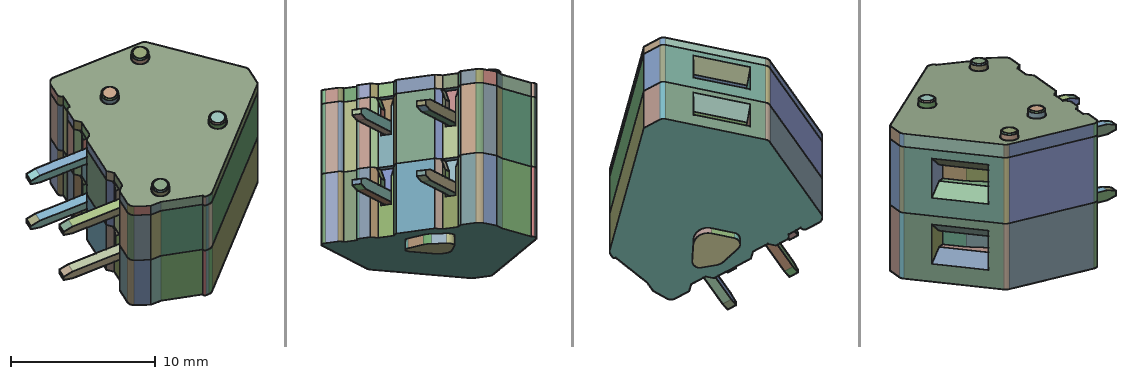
import cadquery as cq
import math

BLOCK_WIDTH = 14.1
BLOCK_DEPTH = 12.8
MODULE_HEIGHT = 5.0
MODULE_COUNT = 2
PLATE_THICKNESS = 0.99
STACK_HEIGHT = MODULE_COUNT * MODULE_HEIGHT

CORNER_RADIUS = 0.5
ENTRY_FACE_START = 7.48
RIDGE_END_X = 6.82
LIP_FLOOR_Y = 4.95
LIP_INNER_X = 13.93
LIP_RADIUS = 0.15
SIDE_X = 13.12
SIDE_TOP_Y = 2.12
SIDE_BOTTOM_Y = 1.33
FRONT_END_X = 12.48

KEY_GROOVE_LEFT = 1.78
KEY_GROOVE_RIGHT = 2.8
KEY_GROOVE_DEPTH = 0.3
PIN_PITCH = 5.0
FIRST_PIN_X = 4.99
PIN_XS = [FIRST_PIN_X, FIRST_PIN_X + PIN_PITCH]
PIN_GROOVE_FLOOR = 1.2
PIN_GROOVE_DEPTH = 0.4

PIN_WIDTH = 0.7
PIN_HEIGHT = 0.77
PIN_CENTER_Z = 2.85
PIN_REACH = 4.0
PIN_TIP_LENGTH = 0.7
PIN_TIP_HEIGHT = 0.37
SLOT_WIDTH = 0.8
SLOT_MOUTH_WIDTH = 1.38
SLOT_FLOOR_Z = 2.28
SLOT_FUNNEL_Z = 4.23
SLOT_DEPTH = 0.62

ENTRY_CENTER_Z = 2.85
ENTRY_HEIGHT = 2.99
ENTRY_THROAT_HEIGHT = 1.23
ENTRY_LOW_Y = 8.38
ENTRY_HIGH_Y = 11.24
ENTRY_FUNNEL_DEPTH = 0.97
ENTRY_FLOOR_DEPTH = 1.46
ENTRY_FLOOR_END_Y = 8.75
ENTRY_DEEPEST = 1.8
ENTRY_DRAFT = 15

FOOT_HEIGHT = 0.7
FOOT_CIRCLES = [(6.25, 2.0, 0.5), (7.76, 2.8, 1.0), (8.92, 2.02, 0.5), (7.76, 2.12, 1.0)]

STUD_CENTERS = [(1.1, 6.6), (3.3, 3.15), (8.58, 8.8), (12.1, 2.6)]
STUD_PROTRUSION = 0.49
STUD_RADIUS = 0.6
STUD_CHAMFER = 0.1
HOLE_CHAMFER = 0.05
COUNTERSINK_ANGLE = 90

MERGE_DISTANCE = 0.0002


def rounded_outline(corners):
    """Closed outline through corners (x, y, radius); a radius of 0 leaves the corner sharp."""
    points = [cq.Vector(x, y, 0) for x, y, _ in corners]
    stations = []
    for i, (_, _, radius) in enumerate(corners):
        here = points[i]
        if radius == 0:
            stations.append((here, None, here))
            continue
        back = (points[i - 1] - here).normalized()
        ahead = (points[(i + 1) % len(points)] - here).normalized()
        half_angle = back.getAngle(ahead) / 2
        tangent = radius / math.tan(half_angle)
        crown = radius / math.sin(half_angle) - radius
        middle = here + (back + ahead).normalized() * crown
        stations.append((here + back * tangent, middle, here + ahead * tangent))

    outline = cq.Workplane("XY").moveTo(*stations[0][2].toTuple()[:2])
    last = stations[0][2]
    for start, middle, end in stations[1:] + stations[:1]:
        if (start - last).Length > MERGE_DISTANCE:
            outline = outline.lineTo(start.x, start.y)
        last = end
        if middle is not None:
            outline = outline.threePointArc((middle.x, middle.y), (end.x, end.y))
    return outline.close()


def block_outline():
    """Plan shape shared by the modules and the end plate, clockwise from the front left corner."""
    corners = [
        (0, 0, CORNER_RADIUS),
        (0, ENTRY_FACE_START, CORNER_RADIUS),
        (BLOCK_DEPTH - ENTRY_FACE_START, BLOCK_DEPTH, CORNER_RADIUS),
        (RIDGE_END_X, BLOCK_DEPTH, 0),
        (BLOCK_WIDTH, BLOCK_DEPTH - (BLOCK_WIDTH - RIDGE_END_X), CORNER_RADIUS),
        (BLOCK_WIDTH, LIP_FLOOR_Y, LIP_RADIUS),
        (LIP_INNER_X, LIP_FLOOR_Y, 0),
        (SIDE_X, SIDE_TOP_Y, 0),
        (SIDE_X, SIDE_BOTTOM_Y, 0),
        (FRONT_END_X, 0, CORNER_RADIUS),
    ]
    for x in reversed(PIN_XS):
        floor_half = PIN_GROOVE_FLOOR / 2
        mouth_half = floor_half + PIN_GROOVE_DEPTH
        corners += [
            (x + mouth_half, 0, 0),
            (x + floor_half, PIN_GROOVE_DEPTH, 0),
            (x - floor_half, PIN_GROOVE_DEPTH, 0),
            (x - mouth_half, 0, 0),
        ]
    corners += [
        (KEY_GROOVE_RIGHT, 0, KEY_GROOVE_DEPTH),
        (KEY_GROOVE_RIGHT, KEY_GROOVE_DEPTH, 0),
        (KEY_GROOVE_LEFT, KEY_GROOVE_DEPTH, 0),
        (KEY_GROOVE_LEFT, 0, KEY_GROOVE_DEPTH),
    ]
    return rounded_outline(corners)


def pin_slot(x):
    """Slot behind the pin groove, widening to a mouth at the top of the module."""
    right_half = [
        (SLOT_WIDTH / 2, SLOT_FLOOR_Z),
        (SLOT_WIDTH / 2, SLOT_FUNNEL_Z),
        (SLOT_MOUTH_WIDTH / 2, MODULE_HEIGHT),
    ]
    left_half = [(-dx, z) for dx, z in reversed(right_half)]
    back_y = PIN_GROOVE_DEPTH + SLOT_DEPTH
    profile = [(x + dx, z) for dx, z in right_half + left_half]
    return cq.Workplane("XZ", origin=(0, back_y, 0)).polyline(profile).close().extrude(back_y)


def solder_pin(x):
    """Flat pin from the slot's back wall to a tip that tapers in height."""
    back_y = PIN_GROOVE_DEPTH + SLOT_DEPTH
    upper_half = [
        (back_y, PIN_HEIGHT / 2),
        (PIN_TIP_LENGTH - PIN_REACH, PIN_HEIGHT / 2),
        (-PIN_REACH, PIN_TIP_HEIGHT / 2),
    ]
    lower_half = [(y, -dz) for y, dz in reversed(upper_half)]
    profile = [(y, PIN_CENTER_Z + dz) for y, dz in upper_half + lower_half]
    return cq.Workplane("YZ", origin=(x, 0, 0)).polyline(profile).close().extrude(PIN_WIDTH / 2, both=True)


def wire_entry():
    """Funnel and throat cut square into the 45 degree face."""
    diagonal = math.sqrt(2)
    low_corner = (ENTRY_LOW_Y - ENTRY_FACE_START, ENTRY_LOW_Y, ENTRY_CENTER_Z)
    length = (ENTRY_HIGH_Y - ENTRY_LOW_Y) * diagonal
    high_floor = length - ENTRY_FLOOR_DEPTH * math.tan(math.radians(ENTRY_DRAFT))
    low_floor = (ENTRY_FLOOR_END_Y - ENTRY_LOW_Y) * diagonal + ENTRY_FLOOR_DEPTH
    plan_plane = cq.Plane(origin=low_corner, xDir=(1, 1, 0), normal=(0, 0, -1))
    plan = (
        cq.Workplane(plan_plane)
        .polyline([
            (0, 0),
            (length, 0),
            (high_floor, ENTRY_FLOOR_DEPTH),
            (low_floor, ENTRY_FLOOR_DEPTH),
            (0, ENTRY_DEEPEST),
        ])
        .close()
        .extrude(ENTRY_HEIGHT / 2, both=True)
    )

    upper_half = [
        (0, ENTRY_HEIGHT / 2),
        (ENTRY_FUNNEL_DEPTH, ENTRY_THROAT_HEIGHT / 2),
        (ENTRY_DEEPEST, ENTRY_THROAT_HEIGHT / 2),
    ]
    lower_half = [(depth, -dz) for depth, dz in reversed(upper_half)]
    section_plane = cq.Plane(origin=low_corner, xDir=(1, -1, 0), normal=(-1, -1, 0))
    section = cq.Workplane(section_plane).polyline(upper_half + lower_half).close().extrude(-length)
    return plan.intersect(section)


def foot():
    """Rounded foot: straight sides tangent to each pair of neighbouring circles."""
    count = len(FOOT_CIRCLES)
    side_normals = []
    for i, (x, y, radius) in enumerate(FOOT_CIRCLES):
        next_x, next_y, next_radius = FOOT_CIRCLES[(i + 1) % count]
        spacing = math.hypot(next_x - x, next_y - y)
        heading = math.atan2(next_y - y, next_x - x)
        side_normals.append(heading + math.acos((radius - next_radius) / spacing))

    def on_circle(circle, angle):
        x, y, radius = circle
        return (x + radius * math.cos(angle), y + radius * math.sin(angle))

    outline = cq.Workplane("XY").moveTo(*on_circle(FOOT_CIRCLES[0], side_normals[0]))
    for i in range(1, count + 1):
        circle = FOOT_CIRCLES[i % count]
        arrive = side_normals[i - 1]
        turn = (arrive - side_normals[i % count]) % (2 * math.pi)
        outline = (
            outline.lineTo(*on_circle(circle, arrive))
            .threePointArc(on_circle(circle, arrive - turn / 2), on_circle(circle, arrive - turn))
        )
    return outline.close().extrude(-FOOT_HEIGHT)


def studs():
    """Four chamfered studs rising from the top of a module."""
    return (
        cq.Workplane("XY", origin=(0, 0, MODULE_HEIGHT))
        .pushPoints(STUD_CENTERS)
        .circle(STUD_RADIUS)
        .extrude(PLATE_THICKNESS + STUD_PROTRUSION)
        .faces(">Z")
        .edges()
        .chamfer(STUD_CHAMFER)
    )


def terminal_module(index):
    """One pole of the block; the bottom one carries the foot and the top one the studs."""
    module = block_outline().extrude(MODULE_HEIGHT).cut(wire_entry())
    for x in PIN_XS:
        module = module.cut(pin_slot(x)).union(solder_pin(x))
    if index == 0:
        module = module.union(foot())
    if index == MODULE_COUNT - 1:
        module = module.union(studs())
    return module.translate((0, 0, index * MODULE_HEIGHT))


def end_plate():
    """Cover on top of the modules, with a countersunk hole around each stud."""
    return (
        block_outline()
        .extrude(PLATE_THICKNESS)
        .faces(">Z")
        .workplane(origin=(0, 0, PLATE_THICKNESS))
        .pushPoints(STUD_CENTERS)
        .cskHole(2 * STUD_RADIUS, 2 * (STUD_RADIUS + HOLE_CHAMFER), COUNTERSINK_ANGLE)
        .translate((0, 0, STACK_HEIGHT))
    )


modules = [terminal_module(index) for index in range(MODULE_COUNT)]
cover = end_plate()

result = cq.Compound.makeCompound([*(module.solids().val() for module in modules), cover.solids().val()])